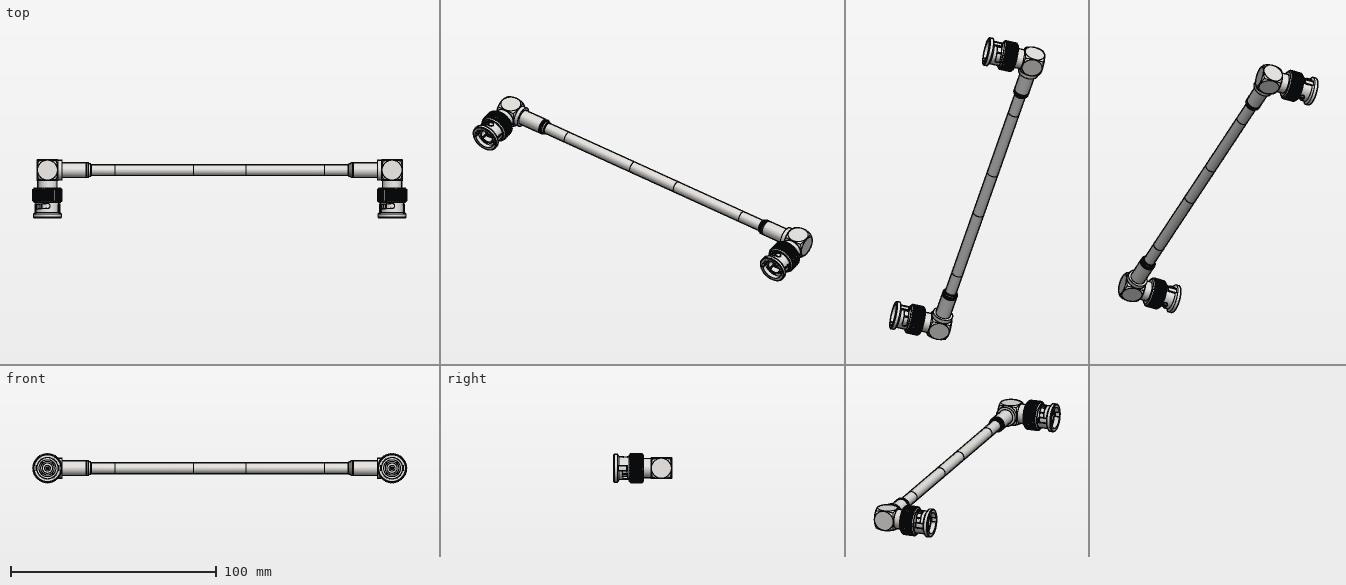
import cadquery as cq
import math


overall_length = 181.6
plug_reach = 23.15
cable_radius = 2.72

label_length = 25.4
cable_joint_x = 50.8

block_half = 5.1
block_face_radius = 4.85
corner_slope = math.tan(math.radians(30))
elbow_collar_radius = 4.9
collar_end = 7.1

sleeve_radius = 3.65
groove_start = 18.6
groove_end = 19.3
groove_depth = 0.2
sleeve_end = 20.0
tip_radius = 3.15
tip_end = 20.9
lip_radius = 2.85
lip_end = 21.3

neck_radius = 4.75
knurl_start = 8.6
knurl_end = 15.7
knurl_radius = 7.15
knurl_depth = 0.35
knurl_teeth = 56
knurl_chamfer = 0.9
barrel_radius = 5.6
flange_radius = 6.85
flange_cone_start = 20.5
flange_start = 21.3
flange_chamfer = 0.35
nut_bore_radius = 5.15
nut_bore_floor = 12.0

track_width = 2.2
entry_radius = 5.6
cover_radius = 6.1
cover_width = 2.6
cover_start = 16.5
entry_depth = 18.1
latch_depth = 17.4
latch_diameter = 2.5
wall_cut_radius = 8.0

outer_contact_radius = 4.1
outer_contact_bore = 3.3
outer_contact_tip = 21.0
finger_count = 4
finger_slit = 0.5
first_slit_angle = 45
finger_slit_start = 15.0
insulator_radius = 2.5
insulator_tip = 18.5
pin_recess_radius = 1.4
pin_recess_floor = 15.0
pin_radius = 0.7
pin_tip = 20.5

plug_offset = overall_length / 2 - knurl_radius


def rod_x(radius, start, end):
    """Cylinder along +X."""
    return cq.Workplane("YZ").workplane(offset=start).circle(radius).extrude(end - start)


def rod_plug(radius, start, end):
    """Cylinder on the plug axis, from one depth to another toward -Y."""
    return cq.Workplane("XZ").workplane(offset=start).circle(radius).extrude(end - start)


def corner_limit():
    """Short cylinder along X with conical ends that turn away the block's corners."""
    rim_radius = 1.5 * block_half
    rim = block_half - (rim_radius - block_face_radius) * corner_slope
    profile = [
        (-block_half, 0),
        (-block_half, block_face_radius),
        (-rim, rim_radius),
        (rim, rim_radius),
        (block_half, block_face_radius),
        (block_half, 0),
    ]
    return cq.Workplane("XY").polyline(profile).close().revolve(360, (0, 0), (1, 0))


def elbow():
    block = cq.Workplane("XY").box(2 * block_half, 2 * block_half, 2 * block_half)
    limit = corner_limit()
    block = block.intersect(limit)
    for turn_axis in ((0, 1, 0), (0, 0, 1)):
        block = block.intersect(limit.rotate((0, 0, 0), turn_axis, 90))
    return block.union(rod_x(elbow_collar_radius, 0, collar_end))


def cable_tail(tail_end):
    """Crimp sleeve, its stepped tip and the tail of cable it holds, turned about X."""
    profile = [
        (0, 0),
        (0, sleeve_radius),
        (groove_start, sleeve_radius),
        (groove_start, sleeve_radius - groove_depth),
        (groove_end, sleeve_radius - groove_depth),
        (groove_end, sleeve_radius),
        (sleeve_end, sleeve_radius),
        (sleeve_end, tip_radius),
        (tip_end, tip_radius),
        (tip_end, lip_radius),
        (lip_end, cable_radius),
        (tail_end, cable_radius),
        (tail_end, 0),
    ]
    return cq.Workplane("XY").polyline(profile).close().revolve(360, (0, 0), (1, 0))


def knurled_grip():
    half_tooth = math.pi / knurl_teeth
    outline = []
    for i in range(2 * knurl_teeth):
        radius = knurl_radius - knurl_depth * (i % 2)
        outline.append((radius * math.cos(i * half_tooth), radius * math.sin(i * half_tooth)))
    length = knurl_end - knurl_start
    grip = cq.Workplane("XZ").workplane(offset=knurl_start).polyline(outline).close().extrude(length)
    limit = rod_plug(knurl_radius, knurl_start, knurl_end).edges().chamfer(knurl_chamfer)
    return grip.intersect(limit)


def barrel():
    """Nut barrel with its front flange, turned about the plug axis."""
    profile = [
        (0, -knurl_start),
        (barrel_radius, -knurl_start),
        (barrel_radius, -flange_cone_start),
        (flange_radius, -flange_start),
        (flange_radius, flange_chamfer - plug_reach),
        (flange_radius - flange_chamfer, -plug_reach),
        (0, -plug_reach),
    ]
    return cq.Workplane("XY").polyline(profile).close().revolve(360, (0, 0), (0, 1))


def entry_strip(radius, width, start):
    """Bar across the nut through both entry grooves, its ends rounded to a radius about the plug axis."""
    length = plug_reach - start
    bar = cq.Workplane("XZ").workplane(offset=start).rect(3 * radius, width).extrude(length)
    return bar.intersect(rod_plug(radius, start, plug_reach))


def bayonet_slot():
    """Sloped quarter-turn slot from the entry groove at -X to the latch hole at +Z."""
    corner = (-wall_cut_radius, -track_width / 2, 0)
    slot = cq.Workplane("XY").box(wall_cut_radius, track_width, wall_cut_radius, centered=False)
    slope_angle = math.degrees(math.atan2(entry_depth - latch_depth, barrel_radius))
    slot = slot.translate(corner).rotate((0, 0, 0), (1, 0, 0), -slope_angle)
    slot = slot.translate((0, -entry_depth, 0))
    latch = cq.Workplane("XY").center(0, -latch_depth).circle(latch_diameter / 2)
    return slot.union(latch.extrude(wall_cut_radius))


def coupling_nut():
    nut = barrel()
    slot = bayonet_slot()
    for turn in (0, 180):
        nut = nut.cut(slot.rotate((0, 0, 0), (0, 1, 0), turn))
    nut = nut.union(knurled_grip())
    nut = nut.union(entry_strip(cover_radius, cover_width, cover_start))
    nut = nut.cut(rod_plug(nut_bore_radius, nut_bore_floor, plug_reach))
    cover_wall = cover_radius - entry_radius
    return nut.cut(entry_strip(entry_radius, track_width, cover_start + cover_wall))


def contacts():
    outer = rod_plug(outer_contact_radius, nut_bore_floor, outer_contact_tip)
    outer = outer.cut(rod_plug(outer_contact_bore, nut_bore_floor, outer_contact_tip))
    slit_length = outer_contact_tip - finger_slit_start
    slit_plane = cq.Workplane("XZ").workplane(offset=finger_slit_start)
    for i in range(finger_count // 2):
        slit = slit_plane.rect(3 * outer_contact_radius, finger_slit).extrude(slit_length)
        slit_angle = first_slit_angle + 360 / finger_count * i
        outer = outer.cut(slit.rotate((0, 0, 0), (0, 1, 0), slit_angle))
    insulator = rod_plug(insulator_radius, nut_bore_floor, insulator_tip)
    insulator = insulator.cut(rod_plug(pin_recess_radius, pin_recess_floor, insulator_tip))
    pin = rod_plug(pin_radius, nut_bore_floor, pin_tip).faces("<Y").chamfer(pin_radius / 2)
    return [outer, insulator, pin]


def plug():
    """One right-angle plug with its axis on the Y axis and its cable tail along +X."""
    body = elbow().union(cable_tail(plug_offset - cable_joint_x))
    body = body.union(rod_plug(neck_radius, 0, knurl_start))
    body = body.union(coupling_nut())
    for contact in contacts():
        body = body.union(contact)
    return body.translate((-plug_offset, 0, 0))


left_plug = plug()
plugs = [left_plug, left_plug.rotate((0, 0, 0), (0, 1, 0), 180)]

cables = [
    rod_x(cable_radius, -cable_joint_x, -label_length / 2),
    rod_x(cable_radius, label_length / 2, cable_joint_x),
]

label = rod_x(cable_radius, -label_length / 2, label_length / 2)

result = cq.Compound.makeCompound(
    [body.val() for body in plugs] + [cable.val() for cable in cables] + [label.val()]
)